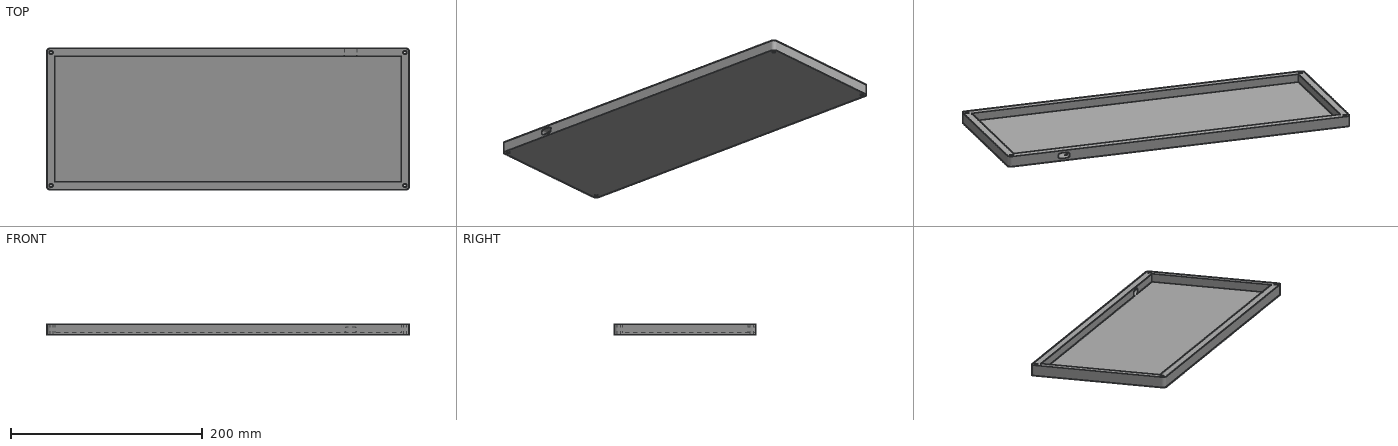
import cadquery as cq

length = 377.5
width = 147.5
height = 11.5
corner_radius = 3.8

wall = 8.3
floor = 2.5

hole_diameter = 3.5
hole_inset = 4.5

port_length = 13.0
port_height = 6.0
port_x = 127.5
port_bottom = floor


def tray():
    """Rounded plate with a sharp-cornered pocket open at the top."""
    body = cq.Workplane("XY").box(length, width, height, centered=(True, True, False))
    body = body.edges("|Z").fillet(corner_radius)
    pocket = (
        cq.Workplane("XY", origin=(0, 0, floor))
        .rect(length - 2 * wall, width - 2 * wall)
        .extrude(height - floor)
    )
    return body.cut(pocket)


def screw_holes():
    """Four through holes, one in each corner of the rim."""
    return (
        cq.Workplane("XY")
        .rect(length - 2 * hole_inset, width - 2 * hole_inset, forConstruction=True)
        .vertices()
        .circle(hole_diameter / 2)
        .extrude(height)
    )


def cable_port():
    """Round-ended slot through the rear wall, resting on the pocket floor."""
    port_center = (port_x, width / 2, port_bottom + port_height / 2)
    return cq.Workplane("XZ", origin=port_center).slot2D(port_length, port_height).extrude(wall)


result = tray().cut(screw_holes()).cut(cable_port())